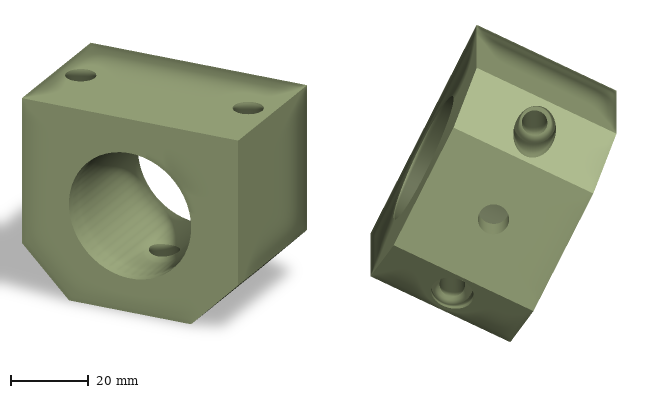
import cadquery as cq

width = 62.0
depth = 40.0
height = 54.0
corner_cut = 13.5
bore_diameter = 35.0

hole_spacing = 48.0
through_diameter = 6.6
thread_diameter = 8.0
thread_depth = 20.0
head_diameter = 11.0
head_seat_height = 15.0

floor_hole_diameter = thread_diameter

top = height / 2
bottom = -height / 2


def vertical_hole(x, diameter, z_low, z_high):
    """Vertical cylinder in the mid plane of the block, used as a cutter."""
    return cq.Workplane("XY", origin=(x, 0, z_low)).circle(diameter / 2).extrude(z_high - z_low)


block = cq.Workplane("XY").box(width, depth, height)
block = block.edges("|Y and <Z").chamfer(corner_cut)
bore = cq.Workplane("XZ", origin=(0, depth / 2, 0)).circle(bore_diameter / 2).extrude(depth)
result = block.cut(bore)

for x in (-hole_spacing / 2, hole_spacing / 2):
    result = result.cut(vertical_hole(x, through_diameter, bottom, top))
    result = result.cut(vertical_hole(x, thread_diameter, top - thread_depth, top))
    result = result.cut(vertical_hole(x, head_diameter, bottom, bottom + head_seat_height))

result = result.cut(vertical_hole(0, floor_hole_diameter, bottom, 0))